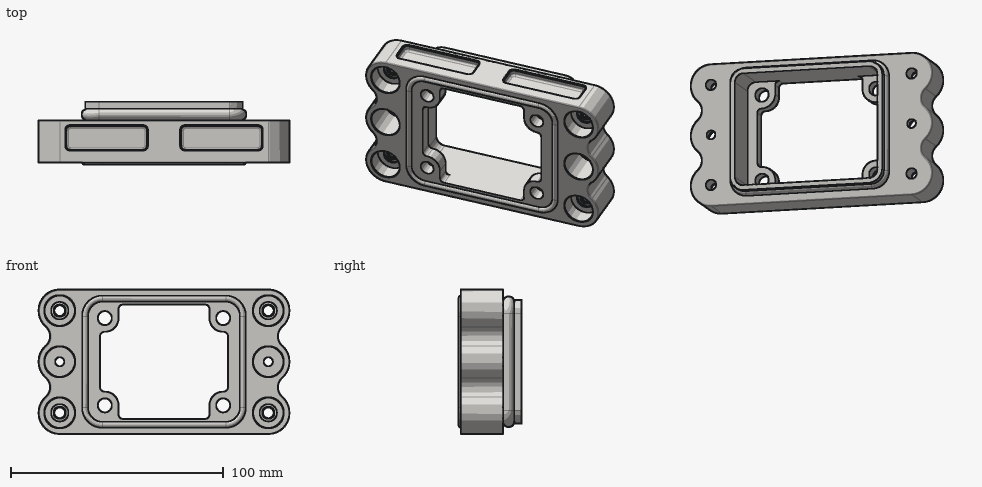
import cadquery as cq
import math

plate_depth = 20.0
lobe_x = 49.0
lobe_pitch = 24.0
lobe_radius = 10.0
valley_radius = 6.0
plate_half_height = lobe_pitch + lobe_radius
plate_edge_round = 0.4

front_bead_height = 0.99
front_bead_radius = 1.5
front_bead_half_x = 37.1
front_bead_half_z = 29.65
front_bead_corner = 8.2

collar_half_x = 37.1
collar_half_z = 29.1
collar_corner = 6.4
collar_height = 8.7
lip_thickness = 3.4
ring_radius = 2.65
ring_embed = 0.05
ring_inset = 1.0
ring_half_x = collar_half_x - ring_inset
ring_half_z = collar_half_z - ring_inset
ring_corner = collar_corner - ring_inset

flange_thickness = 7.0
lip_wall = 2.3
cavity_half_x = collar_half_x - lip_wall
opening_half_z = collar_half_z - lip_wall
cavity_corner = collar_corner - lip_wall
window_half_x = 30.0
ear_x = 27.8
ear_z = 20.5
ear_radius = 6.5
ear_hole_diameter = 6.5
ear_fillet = 2.0
corner_tolerance = 0.01

counterbore_diameter = 14.2
corner_counterbore_depth = 8.0
middle_counterbore_depth = 16.0
counterbore_chamfer = 0.25
screw_step_diameter = 8.2
screw_step_depth = 1.0
screw_relief_diameter = 5.8
screw_relief_depth = 1.0
screw_diameter = 5.0
middle_hole_diameter = 4.2

pocket_x = 27.0
pocket_y = 11.7
pocket_length = 38.0
pocket_width = 11.1
pocket_depth = 3.0
pocket_corner = 2.0
pocket_floor_fillet = 1.0
pocket_rim_chamfer = 0.5


def plane_at(y):
    """Workplane at depth y, with local x along X and local y along Z; negative extrusion goes to +Y."""
    return cq.Workplane("XZ", origin=(0, y, 0))


def bore(x, z, diameter, depth):
    """Round bar along Y from the front face to the given depth."""
    return plane_at(0).center(x, z).circle(diameter / 2).extrude(-depth)


def rounded_block(half_x, half_z, corner, y_start, y_end):
    """Block along Y whose four long edges are rounded."""
    block = plane_at(y_start).rect(2 * half_x, 2 * half_z).extrude(y_start - y_end)
    return block.edges("|Y").fillet(corner)


def round_cord(half_x, half_z, corner, y, radius):
    """Round cord whose centre line is a rounded rectangle at depth y."""
    diagonal = corner * (1 - math.sqrt(0.5))
    path = plane_at(y).moveTo(0, half_z)
    for side_x, side_z in ((1, 1), (1, -1), (-1, -1), (-1, 1)):
        beside = (side_x * half_x, side_z * (half_z - corner))
        level = (side_x * (half_x - corner), side_z * half_z)
        middle = (side_x * (half_x - diagonal), side_z * (half_z - diagonal))
        start, end = (level, beside) if side_x == side_z else (beside, level)
        path = path.lineTo(*start).threePointArc(middle, end)
    path = path.close()
    return cq.Workplane("YZ").center(y, half_z).circle(radius).sweep(path)


def scalloped_outline():
    """Plate outline: straight top and bottom, three lobes joined by valleys at each end."""
    lobe_to_valley = lobe_radius + valley_radius
    tangent_angle = math.asin(lobe_pitch / 2 / lobe_to_valley)
    tangent_dx = lobe_radius * math.cos(tangent_angle)
    tangent_dz = lobe_radius * math.sin(tangent_angle)
    valley_bottom_x = lobe_x + lobe_to_valley * math.cos(tangent_angle) - valley_radius

    outline = plane_at(0).moveTo(-lobe_x, plate_half_height)
    for side in (1, -1):
        tip_x = side * (lobe_x + lobe_radius)
        tangent_x = side * (lobe_x + tangent_dx)
        valley_x = side * valley_bottom_x
        outer_z = side * lobe_pitch
        valley_z = outer_z / 2
        end_dz = side * tangent_dz
        outline = (
            outline.lineTo(side * lobe_x, side * plate_half_height)
            .threePointArc((tip_x, outer_z), (tangent_x, outer_z - end_dz))
            .threePointArc((valley_x, valley_z), (tangent_x, end_dz))
            .threePointArc((tip_x, 0), (tangent_x, -end_dz))
            .threePointArc((valley_x, -valley_z), (tangent_x, end_dz - outer_z))
            .threePointArc((tip_x, -outer_z), (side * lobe_x, -side * plate_half_height))
        )
    return outline.close()


def make_plate():
    plate = scalloped_outline().extrude(-plate_depth)
    return plate.faces("<Y or >Y").edges().fillet(plate_edge_round)


def make_collar():
    """Back collar: a core, a wider lip at its end and the sealing ring between lip and plate."""
    end_y = plate_depth + collar_height
    core = rounded_block(ring_half_x, ring_half_z, ring_corner, plate_depth / 2, end_y)
    lip = rounded_block(collar_half_x, collar_half_z, collar_corner, end_y - lip_thickness, end_y)
    ring_y = plate_depth - ring_embed + ring_radius
    ring = round_cord(ring_half_x, ring_half_z, ring_corner, ring_y, ring_radius)
    return core.union(lip).union(ring)


def make_front_bead():
    bead_y = front_bead_radius - front_bead_height
    return round_cord(front_bead_half_x, front_bead_half_z, front_bead_corner, bead_y, front_bead_radius)


def make_window():
    """Front window with an ear left in each corner and all its concave corners rounded."""
    window = plane_at(0).rect(2 * window_half_x, 2 * opening_half_z).extrude(-flange_thickness)
    for side_z in (-1, 1):
        for side_x in (-1, 1):
            ear = plane_at(0).center(side_x * ear_x, side_z * ear_z)
            ear_end = ear.circle(ear_radius).extrude(-flange_thickness)
            ear_root = (
                ear.center(0, side_z * ear_radius / 2)
                .rect(2 * ear_radius, ear_radius)
                .extrude(-flange_thickness)
            )
            window = window.cut(ear_end).cut(ear_root)
    window_corners = window.edges("|Y").filter(
        lambda edge: abs(edge.Center().x) > window_half_x - corner_tolerance
        or abs(edge.Center().z) > opening_half_z - corner_tolerance
    )
    return window_corners.fillet(ear_fillet)


def make_opening():
    """Material to remove: the back cavity, the front window and the screw holes in the ears."""
    back_y = plate_depth + collar_height
    cavity = rounded_block(cavity_half_x, opening_half_z, cavity_corner, flange_thickness, back_y)
    opening = cavity.union(make_window())
    for x in (-ear_x, ear_x):
        for z in (-ear_z, ear_z):
            opening = opening.union(bore(x, z, ear_hole_diameter, flange_thickness))
    return opening


def make_counterbore(x, z, depth):
    """Counterbore cutter whose mouth widens in a small chamfer at the front face."""
    radius = counterbore_diameter / 2
    mouth = cq.Solid.makeCone(
        radius + counterbore_chamfer,
        radius,
        counterbore_chamfer,
        cq.Vector(x, 0, z),
        cq.Vector(0, 1, 0),
    )
    return bore(x, z, counterbore_diameter, depth).union(cq.Workplane(obj=mouth))


def make_corner_hole(x, z):
    """Counterbore, two shallow steps and a through hole."""
    step_end_y = corner_counterbore_depth + screw_step_depth
    relief_end_y = step_end_y + screw_relief_depth
    return (
        make_counterbore(x, z, corner_counterbore_depth)
        .union(bore(x, z, screw_step_diameter, step_end_y))
        .union(bore(x, z, screw_relief_diameter, relief_end_y))
        .union(bore(x, z, screw_diameter, plate_depth))
    )


def make_middle_hole(x):
    """Deep counterbore and a through hole."""
    through_hole = bore(x, 0, middle_hole_diameter, plate_depth)
    return make_counterbore(x, 0, middle_counterbore_depth).union(through_hole)


def make_label_pocket(x):
    """Pocket cutter in the top side, with rounded floor edges and a chamfered rim."""
    top = cq.Workplane("XY", origin=(x, pocket_y, plate_half_height))
    pocket = top.rect(pocket_length, pocket_width).extrude(-pocket_depth)
    pocket = pocket.edges("|Z").fillet(pocket_corner)
    pocket = pocket.faces("<Z").edges().fillet(pocket_floor_fillet)

    rim_length = pocket_length + 2 * pocket_rim_chamfer
    rim_width = pocket_width + 2 * pocket_rim_chamfer
    rim = top.workplane(offset=pocket_rim_chamfer).rect(rim_length, rim_width).extrude(-2 * pocket_rim_chamfer)
    rim = rim.edges("|Z").fillet(pocket_corner + pocket_rim_chamfer)
    rim = rim.faces("<Z").edges().chamfer(pocket_rim_chamfer)
    return pocket.union(rim)


result = make_plate().union(make_collar()).union(make_front_bead())
result = result.cut(make_opening())
for hole_x in (-lobe_x, lobe_x):
    result = result.cut(make_middle_hole(hole_x))
    for hole_z in (-lobe_pitch, lobe_pitch):
        result = result.cut(make_corner_hole(hole_x, hole_z))
for label_x in (-pocket_x, pocket_x):
    result = result.cut(make_label_pocket(label_x))